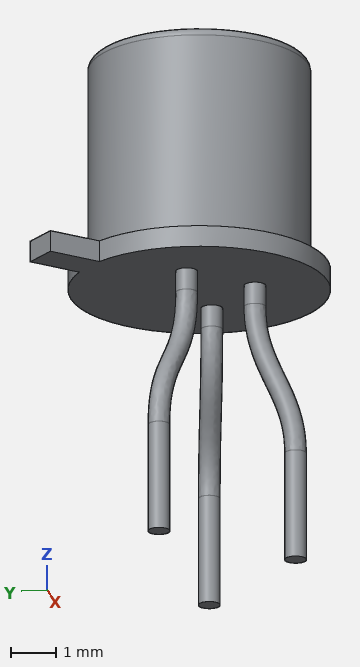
import cadquery as cq

can_diameter = 4.95
can_top_fillet = 0.2
can_base_fillet = 0.1
flange_diameter = 5.82
flange_thickness = 0.49
total_height = 11.83

tab_width = 0.84
tab_reach = 4.16
tab_angle = 135.0

lead_diameter = 0.49
lead_root_length = 0.5
lead_bend_drop = 3.51
lead_foot_length = 2.5
lead_pitch = 1.27
foot_pitch = 2 * lead_pitch
foot_row_y = 0.34

can_top_z = total_height - lead_root_length - lead_bend_drop - lead_foot_length

lead_positions = [
    ((-lead_pitch, 0), (-foot_pitch, foot_row_y)),
    ((0, -lead_pitch), (0, foot_row_y - foot_pitch)),
    ((lead_pitch, 0), (foot_pitch, foot_row_y)),
]


def make_can():
    can = cq.Workplane("XY").circle(can_diameter / 2).extrude(can_top_z)
    return can.faces(">Z").edges().fillet(can_top_fillet)


def make_flange():
    return cq.Workplane("XY").circle(flange_diameter / 2).extrude(flange_thickness)


def make_tab():
    tab = cq.Workplane("XY").box(tab_reach, tab_width, flange_thickness, centered=(False, True, False))
    return tab.rotate((0, 0, 0), (0, 0, 1), tab_angle)


def lead_section(centre):
    return cq.Workplane("XY", origin=centre.toTuple()).circle(lead_diameter / 2)


def make_lead(root, foot):
    """Round wire whose S-bend starts and ends vertical."""
    bend_top = cq.Vector(*root, -lead_root_length)
    bend_bottom = cq.Vector(*foot, -lead_root_length - lead_bend_drop)
    down = cq.Vector(0, 0, -1)
    bend_path = cq.Edge.makeSpline([bend_top, bend_bottom], tangents=[down, down])
    bend = lead_section(bend_top).sweep(cq.Workplane(bend_path))
    root_part = lead_section(bend_top).extrude(lead_root_length)
    foot_part = lead_section(bend_bottom).extrude(-lead_foot_length)
    return root_part.union(bend).union(foot_part)


can_base_edge = cq.selectors.RadiusNthSelector(0)
result = make_flange().union(make_can())
result = result.faces("<Z[-2]").edges(can_base_edge).fillet(can_base_fillet)
result = result.union(make_tab())
for root, foot in lead_positions:
    result = result.union(make_lead(root, foot))